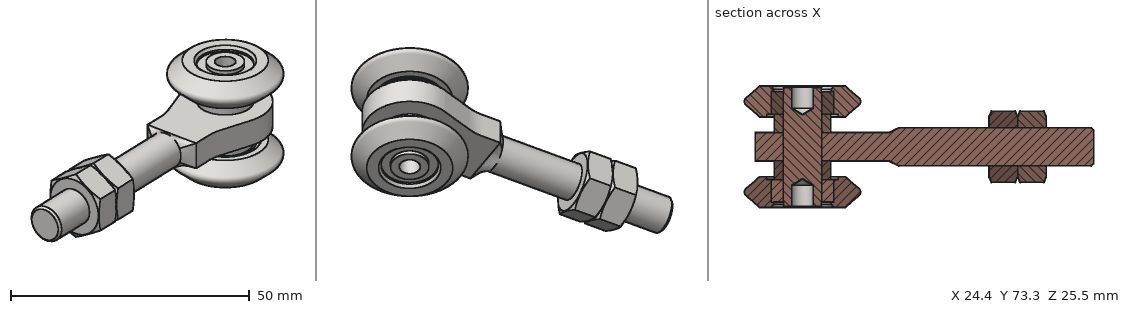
import cadquery as cq
import math

overall_length = 73.25
overall_height = 25.5
wheel_width = 6.5
eye_thickness = 6.0
wheel_outer_z = overall_height / 2
wheel_inner_z = wheel_outer_z - wheel_width
wheel_mid_z = (wheel_outer_z + wheel_inner_z) / 2

wheel_radius = 12.2
wheel_face_radius = 9.0
rim_edge_radius = 1.0
bearing_seat_radius = 6.5
wheel_lip_radius = 6.0
wheel_lip_thickness = 1.2
inner_recess_radius = 7.5
inner_recess_depth = 0.6
lip_chamfer_width = 0.5
lip_chamfer_depth = 0.7

bearing_outer_z = wheel_outer_z - wheel_lip_thickness
bearing_inner_z = wheel_inner_z + inner_recess_depth

spacer_radius = 6.0
pin_radius = 4.0
pin_recess = 0.3
pin_hole_radius = 2.2
pin_hole_depth = 4.4
drill_point_angle = 118

eye_radius = 9.95
neck_fillet_radius = eye_radius
neck_width = 13.0
neck_straight_y = -13.6
neck_end_y = -18.1
shank_start_y = -20.15
rod_end_y = wheel_radius - overall_length
shank_radius = 4.0
shank_chamfer = 0.5

nut_flats = 13.05
nut_thickness = 6.0
nut_face_radius = 6.4
nut_corner_chamfer_depth = 0.5
nut_end_gap = 9.95
nut_count = 2


def eye_plate():
    """Flat eye whose straight flanks run tangent into the concave neck fillets."""
    half_neck = neck_width / 2
    fillet_x = half_neck + neck_fillet_radius
    centre_distance = math.hypot(fillet_x, neck_straight_y)
    tangent_angle = math.atan2(neck_straight_y, fillet_x) + math.acos(
        (eye_radius + neck_fillet_radius) / centre_distance
    )

    def on_eye(angle):
        return (eye_radius * math.cos(angle), eye_radius * math.sin(angle))

    def on_fillet(angle):
        return (
            fillet_x - neck_fillet_radius * math.cos(angle),
            neck_straight_y - neck_fillet_radius * math.sin(angle),
        )

    def mirrored(point):
        return (-point[0], point[1])

    flank_top = on_eye(tangent_angle)
    flank_bottom = on_fillet(tangent_angle)
    fillet_middle = on_fillet(tangent_angle / 2)
    return (
        cq.Workplane("XY")
        .moveTo(half_neck, neck_end_y)
        .lineTo(half_neck, neck_straight_y)
        .threePointArc(fillet_middle, flank_bottom)
        .lineTo(*flank_top)
        .threePointArc((0, eye_radius), mirrored(flank_top))
        .lineTo(*mirrored(flank_bottom))
        .threePointArc(mirrored(fillet_middle), (-half_neck, neck_straight_y))
        .lineTo(-half_neck, neck_end_y)
        .close()
        .extrude(eye_thickness / 2, both=True)
    )


def make_eye_rod():
    transition = (
        cq.Workplane("XZ", origin=(0, neck_end_y, 0))
        .rect(neck_width, eye_thickness)
        .workplane(offset=neck_end_y - shank_start_y)
        .circle(shank_radius)
        .loft(ruled=True)
    )
    shank = (
        cq.Workplane("XZ", origin=(0, shank_start_y, 0))
        .circle(shank_radius)
        .extrude(shank_start_y - rod_end_y)
        .faces("<Y")
        .chamfer(shank_chamfer)
    )
    axle_hole = cq.Workplane("XY").circle(pin_radius).extrude(eye_thickness, both=True)
    return eye_plate().union(transition).union(shank).cut(axle_hole)


def make_nut(face_y):
    """Hexagon nut reaching from face_y towards +Y, with corners on the Z axis."""
    corner_radius = nut_flats / math.sqrt(3)
    hexagon = (
        cq.Workplane("XZ")
        .polygon(6, 2 * corner_radius)
        .extrude(-nut_thickness)
        .rotate((0, 0, 0), (0, 1, 0), 90)
    )
    rounding = (
        cq.Workplane("XY")
        .polyline(
            [
                (0, 0),
                (nut_face_radius, 0),
                (corner_radius, nut_corner_chamfer_depth),
                (corner_radius, nut_thickness - nut_corner_chamfer_depth),
                (nut_face_radius, nut_thickness),
                (0, nut_thickness),
            ]
        )
        .close()
        .revolve(360, (0, 0), (0, 1))
    )
    bore = cq.Workplane("XZ").circle(shank_radius).extrude(-nut_thickness)
    return hexagon.intersect(rounding).cut(bore).translate((0, face_y, 0))


def on_side(upper_body, side):
    """Keep a body made on the +Z side, or mirror it to the -Z side."""
    return upper_body if side > 0 else upper_body.mirror("XY")


def revolved_about_axle(profile):
    return profile.close().revolve(360, (0, 0), (0, 1))


def make_wheel(side):
    rim_centre_r = wheel_radius - rim_edge_radius
    run = rim_centre_r - wheel_face_radius
    rise = wheel_width / 2
    tangent_angle = math.atan2(rise, -run) - math.acos(rim_edge_radius / math.hypot(run, rise))
    tangent_r = rim_centre_r + rim_edge_radius * math.cos(tangent_angle)
    tangent_dz = rim_edge_radius * math.sin(tangent_angle)
    profile = (
        cq.Workplane("XZ")
        .moveTo(bearing_seat_radius, bearing_outer_z)
        .lineTo(bearing_seat_radius, bearing_inner_z)
        .lineTo(inner_recess_radius, bearing_inner_z)
        .lineTo(inner_recess_radius, wheel_inner_z)
        .lineTo(wheel_face_radius, wheel_inner_z)
        .lineTo(tangent_r, wheel_mid_z - tangent_dz)
        .threePointArc((wheel_radius, wheel_mid_z), (tangent_r, wheel_mid_z + tangent_dz))
        .lineTo(wheel_face_radius, wheel_outer_z)
        .lineTo(wheel_lip_radius + lip_chamfer_width, wheel_outer_z)
        .lineTo(wheel_lip_radius, wheel_outer_z - lip_chamfer_depth)
        .lineTo(wheel_lip_radius, bearing_outer_z)
    )
    wheel = revolved_about_axle(profile)
    return on_side(wheel, side)


def make_bearing(side):
    bearing = (
        cq.Workplane("XY", origin=(0, 0, bearing_inner_z))
        .circle(bearing_seat_radius)
        .circle(pin_radius)
        .extrude(bearing_outer_z - bearing_inner_z)
    )
    return on_side(bearing, side)


def make_spacer(side):
    spacer = (
        cq.Workplane("XY", origin=(0, 0, eye_thickness / 2))
        .circle(spacer_radius)
        .circle(pin_radius)
        .extrude(bearing_inner_z - eye_thickness / 2)
    )
    return on_side(spacer, side)


def make_pin():
    """Axle pin with a drilled blind hole in each end."""
    pin_end_z = wheel_outer_z - pin_recess
    hole_floor_z = pin_end_z - pin_hole_depth
    drill_point_height = pin_hole_radius / math.tan(math.radians(drill_point_angle / 2))
    pin = cq.Workplane("XY").circle(pin_radius).extrude(pin_end_z, both=True)
    hole = revolved_about_axle(
        cq.Workplane("XZ")
        .moveTo(0, pin_end_z)
        .lineTo(pin_hole_radius, pin_end_z)
        .lineTo(pin_hole_radius, hole_floor_z)
        .lineTo(0, hole_floor_z - drill_point_height)
    )
    for side in (1, -1):
        pin = pin.cut(on_side(hole, side))
    return pin


eye_rod = make_eye_rod()
first_nut_y = rod_end_y + nut_end_gap
nuts = [make_nut(first_nut_y + i * nut_thickness) for i in range(nut_count)]
wheels = [make_wheel(side) for side in (1, -1)]
bearings = [make_bearing(side) for side in (1, -1)]
spacers = [make_spacer(side) for side in (1, -1)]
pin = make_pin()

bodies = [eye_rod, *nuts, *wheels, *bearings, *spacers, pin]
result = cq.Compound.makeCompound([body.solids().val() for body in bodies])